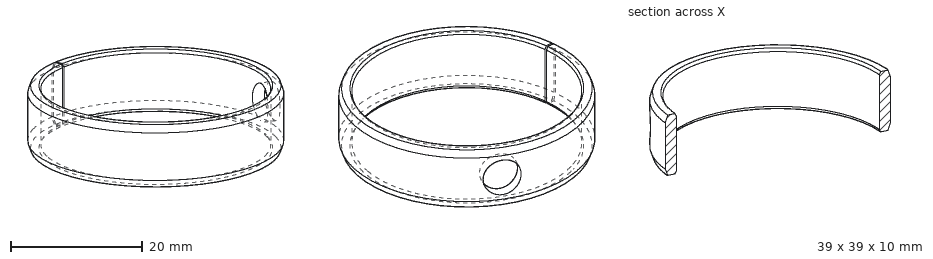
import cadquery as cq
import math

outer_radius = 19.5
inner_radius = 17.5
height = 10.0

outer_bevel_axial = 1.2
outer_bevel_slope = math.radians(20)
outer_bevel_radial = outer_bevel_axial * math.tan(outer_bevel_slope)
inner_bevel_axial = 0.5
inner_bevel_slope = math.radians(30)
inner_bevel_radial = inner_bevel_axial * math.tan(inner_bevel_slope)

split_angle = 1.0

hole_diameter = 6.0
hole_from_split = 120.0
hole_angle = math.radians(180 - split_angle - hole_from_split)


def ring_body():
    """Revolve the eight-sided wall section from one split face round to the other."""
    section = [
        (-inner_radius, inner_bevel_axial),
        (-inner_radius - inner_bevel_radial, 0),
        (-outer_radius + outer_bevel_radial, 0),
        (-outer_radius, outer_bevel_axial),
        (-outer_radius, height - outer_bevel_axial),
        (-outer_radius + outer_bevel_radial, height),
        (-inner_radius - inner_bevel_radial, height),
        (-inner_radius, height - inner_bevel_axial),
    ]
    sweep_angle = 360 - split_angle
    return cq.Workplane("XZ").polyline(section).close().revolve(sweep_angle, (0, 0), (0, 1))


def hole_cutter():
    """Radial cylinder from the ring axis out through the wall."""
    start = cq.Vector(0, 0, height / 2)
    direction = cq.Vector(math.cos(hole_angle), math.sin(hole_angle), 0)
    return cq.Solid.makeCylinder(hole_diameter / 2, outer_radius, start, direction)


result = ring_body().cut(hole_cutter())